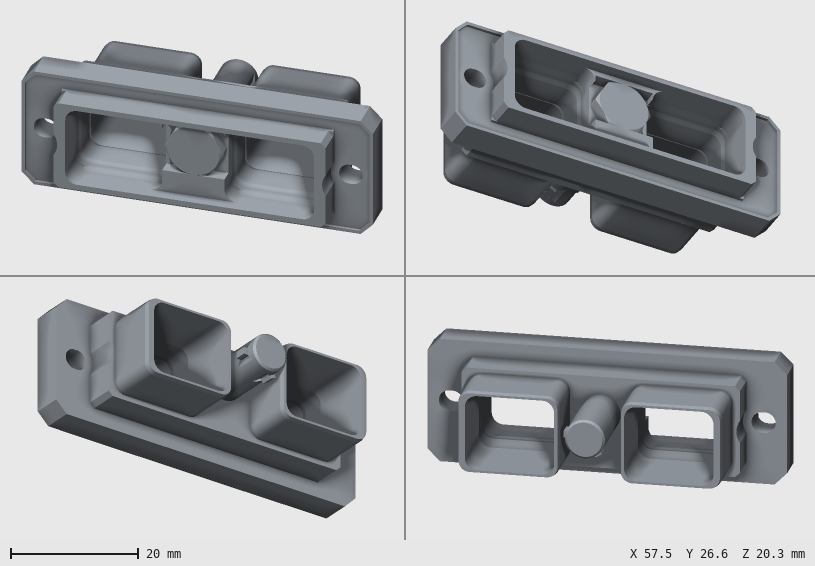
import math
import cadquery as cq


flange_width = 57.45
flange_height = 20.33
flange_corner = 2.0
flange_front = 4.1
flange_rear = 9.1
rim_width = 0.55
rim_depth = 0.5
screw_spacing = 49.95
screw_centres = (-screw_spacing / 2, screw_spacing / 2)
screw_slot_width = 3.85
screw_slot_height = 3.4

body_width = 44.5
body_height = 15.1
body_corner = 0.78
body_rear = 14.15
groove_radius = 3.3

shell_spacing = 25.94
shell_width = 16.17
shell_height = 13.4
shell_corner = 1.97
shell_rear = 23.05
shell_taper_length = 0.85
shell_taper_inset = 0.17

opening_width = 40.7
opening_height = 13.3
opening_corner = 1.95
block_width = 10.2
block_front = 2.0
pocket_spacing = (opening_width + block_width) / 2
pocket_width = (opening_width - block_width) / 2
ramp_start = 4.5
ramp_end = 5.85
ramp_rise = 0.15
funnel_start = 6.75
funnel_end = 7.8
funnel_inset = 0.22
lip_front = 12.2
window_width = 14.27
window_height = 12.32

bolt_z = 1.47
bolt_seat = 4.15
head_corner_width = 9.64
head_across_flats = 8.6
head_chamfer = 0.35
post_diameter = 6.4
post_rear = 26.65
post_chamfer = 0.35

pin_angles = (0, 240)
pin_distance_from_tip = 3.0
pin_length = 2.05
pin_thickness = 1.14
pin_reach = 3.72
relief_floor = 2.74
relief_length = 3.8
relief_half_width = 1.67


def section(y):
    """Workplane at depth y whose extrusions run toward +Y, with X to the right and Z up."""
    plane = cq.Plane(origin=(0, y, 0), xDir=(-1, 0, 0), normal=(0, 1, 0))
    return cq.Workplane(plane)


def bar(width, height, y_start, y_end, x=0, z=0):
    """Rectangular bar along Y, centred on (x, z)."""
    return section(y_start).center(-x, z).rect(width, height).extrude(y_end - y_start)


def rounded_bar(width, height, radius, y_start, y_end, x=0):
    """Bar along Y with its four long edges rounded."""
    return bar(width, height, y_start, y_end, x).edges("|Y").fillet(radius)


def chamfered_bar(width, height, corner, y_start, y_end):
    """Bar along Y with its four long edges chamfered."""
    return bar(width, height, y_start, y_end).edges("|Y").chamfer(corner)


def rounded_funnel(width, height, radius, inset, y_start, y_end, x=0):
    """Rounded bar whose sides lean inward by the inset over its length."""
    length = y_end - y_start
    taper = math.degrees(math.atan2(inset, length))
    outline = cq.Sketch().rect(width, height).vertices().fillet(radius)
    return section(y_start).center(-x, 0).placeSketch(outline).extrude(length, taper=taper)


def make_flange():
    """Mounting flange with a rim around its recessed front and two screw slots."""
    flange = chamfered_bar(flange_width, flange_height, flange_corner, flange_front, flange_rear)
    inner_corner = flange_corner - rim_width * (2 - math.sqrt(2))
    recess = chamfered_bar(
        flange_width - 2 * rim_width,
        flange_height - 2 * rim_width,
        inner_corner,
        flange_front,
        flange_front + rim_depth,
    )
    flange = flange.cut(recess)
    for x in screw_centres:
        slot = section(flange_front).center(-x, 0).slot2D(screw_slot_width, screw_slot_height)
        flange = flange.cut(slot.extrude(flange_rear - flange_front))
    return flange


def make_body():
    """Chamfered body, square where it meets the flange, with grooves in line with the screws."""
    body = chamfered_bar(body_width, body_height, body_corner, 0, body_rear)
    square_base = bar(body_width, body_height, flange_front, flange_rear)
    body = body.union(square_base)
    for x in screw_centres:
        front_groove = section(0).center(-x, 0).circle(groove_radius)
        body = body.cut(front_groove.extrude(flange_front + rim_depth))
        rear_groove = section(flange_rear).center(-x, 0).circle(groove_radius)
        body = body.cut(rear_groove.extrude(body_rear - flange_rear))
    return body


def make_shell(x):
    """Rear shell around one pocket, slightly tapered at its tip."""
    taper_start = shell_rear - shell_taper_length
    shell = rounded_bar(shell_width, shell_height, shell_corner, body_rear, taper_start, x)
    tip = rounded_funnel(
        shell_width, shell_height, shell_corner, shell_taper_inset, taper_start, shell_rear, x
    )
    return shell.union(tip)


def make_pocket(x):
    """Stepped cavity running from the block front through the rear of a shell."""
    pocket = rounded_bar(pocket_width, opening_height, opening_corner, block_front, ramp_end, x)

    half_open = opening_height / 2
    half_narrow = half_open - ramp_rise
    ramp_profile = [
        (block_front, half_open),
        (ramp_start, half_open),
        (ramp_end, half_narrow),
        (ramp_end, -half_narrow),
        (ramp_start, -half_open),
        (block_front, -half_open),
    ]
    ramps = cq.Workplane("YZ", origin=(x, 0, 0)).polyline(ramp_profile).close()
    pocket = pocket.intersect(ramps.extrude(pocket_width / 2, both=True))

    throat = rounded_bar(pocket_width, 2 * half_narrow, opening_corner, ramp_end, funnel_start, x)
    funnel = rounded_funnel(
        pocket_width, 2 * half_narrow, opening_corner, funnel_inset, funnel_start, funnel_end, x
    )
    bore_corner = opening_corner - funnel_inset
    bore = rounded_bar(
        pocket_width - 2 * funnel_inset,
        2 * (half_narrow - funnel_inset),
        bore_corner,
        funnel_end,
        lip_front,
        x,
    )
    window = rounded_bar(window_width, window_height, opening_corner, lip_front, shell_rear, x)
    return pocket.union(throat).union(funnel).union(bore).union(window)


def make_head():
    """Hexagon head with its corners turned off and its front edge chamfered."""
    length = bolt_seat - block_front
    corner_distance = head_across_flats / math.cos(math.pi / 6)
    hexagon = section(block_front).center(0, bolt_z).polygon(6, corner_distance).extrude(length)
    turned = section(block_front).center(0, bolt_z).circle(head_corner_width / 2).extrude(length)
    cone_inset = (head_corner_width - head_across_flats) / 2
    turned = turned.faces("<Y").chamfer(head_chamfer, cone_inset)
    return hexagon.intersect(turned)


def make_post():
    """Rear post of the latch bolt, with its bayonet pins."""
    post = section(body_rear).center(0, bolt_z).circle(post_diameter / 2)
    post = post.extrude(post_rear - body_rear).faces(">Y").chamfer(post_chamfer)
    for angle in pin_angles:
        post = add_bayonet_pin(post, angle)
    return post


def add_bayonet_pin(post, angle):
    """Radial pin with a flat relief on each side that narrows toward the pin."""
    pin_y = post_rear - pin_distance_from_tip
    direction = (math.cos(math.radians(angle)), 0, math.sin(math.radians(angle)))

    def radial_plane(radius):
        origin = (radius * direction[0], pin_y, bolt_z + radius * direction[2])
        return cq.Workplane(cq.Plane(origin=origin, xDir=(0, 1, 0), normal=direction))

    for side in (-1, 1):
        relief_outline = [
            (-pin_length / 2, 0),
            (-pin_length / 2, side * pin_thickness / 2),
            (-relief_length / 2, side * relief_half_width),
            (relief_length / 2, side * relief_half_width),
            (pin_length / 2, side * pin_thickness / 2),
            (pin_length / 2, 0),
        ]
        relief = radial_plane(relief_floor).polyline(relief_outline).close()
        post = post.cut(relief.extrude(pin_reach - relief_floor))
    pin = radial_plane(0).rect(pin_length, pin_thickness).extrude(pin_reach)
    return post.union(pin)


shell_centres = (-shell_spacing / 2, shell_spacing / 2)
pocket_centres = (-pocket_spacing / 2, pocket_spacing / 2)

result = make_flange().union(make_body())
for shell_x in shell_centres:
    result = result.union(make_shell(shell_x))

result = result.cut(rounded_bar(opening_width, opening_height, opening_corner, 0, block_front))
for pocket_x in pocket_centres:
    result = result.cut(make_pocket(pocket_x))

head_channel = bar(block_width, head_across_flats, block_front, bolt_seat, z=bolt_z)
result = result.cut(head_channel).union(make_head()).union(make_post())